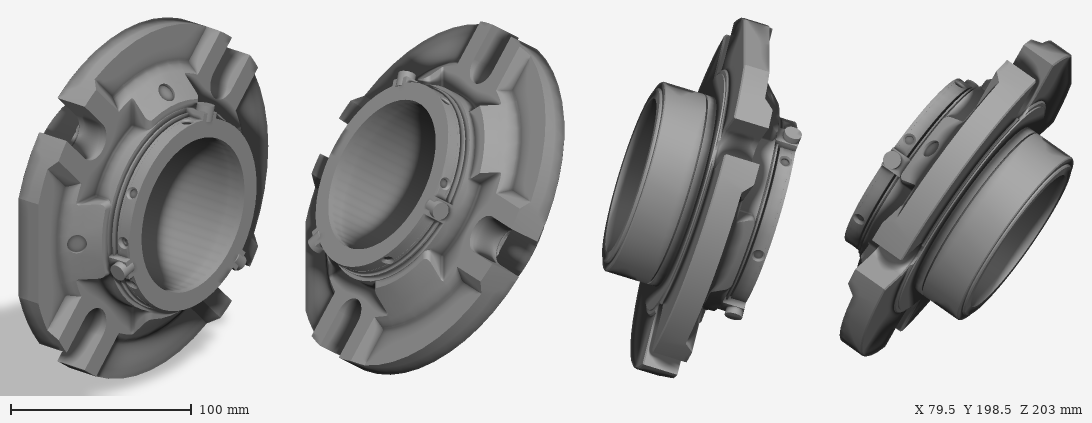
import cadquery as cq
import math


bore_dia = 88.9
sleeve_dia = 92.1
nose_dia = 101.5
nose_chamfer = 0.8
barrel_dia = 109.5
barrel_chamfer = 0.6
barrel_start = 1.6
groove_dia = 106.5
groove_start = 25.5
groove_width = 1.0
pilot_dia = 136.5
pilot_start = 31.5
lip_dia = 142.5
lip_start = 32.3
lip_chamfer = 0.8

flange_dia = 203.0
flange_start = 33.5
flange_back = 48.3
flange_chamfer = 0.8
flat_offset = 97.0

ear_back = 53.8
ear_top_width = 45.9
ear_base_width = 57.6
slot_width = 22.0
slot_center_radius = 79.0
slot_angles = [45, 135, 225, 315]

hub_dia = 117.0
hub_back = 66.0
cone_radius_at_ear = 74.7
cone_slope = math.radians(45)
pad_back = 65.5
pad_width = 44.6
pad_corner = 3.2
pocket_fillet = 1.2
hub_root_fillet = 3.0
pocket_angles = [0, 90, 180, 270]
notch_start = 62.1

port_dia = 11.0
port_depth = 2.2
lower_port_x = 55.8
lower_port_angle = 180
upper_port_x = 59.9
upper_port_angle = 90

rear_neck_dia = 109.5
rear_neck_back = 67.4
rear_disc_dia = 112.6
rear_disc_back = 68.4
thin_disc_dia = 100.0
thin_disc_back = 69.2

collar_rim_dia = 109.8
collar_dia = 109.5
collar_start = 70.0
collar_back = 78.7
collar_rim_width = 1.8
collar_mid = (collar_start + collar_back) / 2

screw_dia = 5.0
screw_sink_dia = 7.3
screw_depth = 2.5
screw_angles = [30, 90, 150, 180, 210, 270, 330]
pin_hole_dia = 2.8
pin_hole_depth = 4.9
pin_hole_angle = 180

clip_angles = [75, 195, 315]
clip_width = 11.4
clip_start = 66.2
clip_bottom = 53.5
clip_top = 58.5
clip_head_dia = 10.0
clip_head_top = 62.3
overall_length = 79.5
clip_head_x = overall_length - clip_head_dia / 2


def disc(x_start, x_end, dia):
    """Solid cylinder on the X axis."""
    return cq.Workplane("YZ").workplane(offset=x_start).circle(dia / 2).extrude(x_end - x_start)


def turned(body, angle):
    """Copy of a body turned about the X axis."""
    return body.rotate((0, 0, 0), (1, 0, 0), angle)


def radial_cylinder(x, r_start, r_end, dia):
    """Cylinder along +Y between two radii."""
    axis = cq.Solid.makeCylinder(dia / 2, r_end - r_start, cq.Vector(x, r_start, 0), cq.Vector(0, 1, 0))
    return cq.Workplane(obj=axis)


def cone_radius(x):
    """Radius of the 45 degree hub cone."""
    return cone_radius_at_ear + ear_back - x


def make_ear():
    """Trapezoid rib running out along +Y, with room for a bolt slot."""
    ear_start = flange_start + flange_chamfer
    return (
        cq.Workplane("XZ")
        .polyline([
            (ear_start, -ear_base_width / 2),
            (flange_back, -ear_base_width / 2),
            (ear_back, -ear_top_width / 2),
            (ear_back, ear_top_width / 2),
            (flange_back, ear_base_width / 2),
            (ear_start, ear_base_width / 2),
        ])
        .close()
        .extrude(-flange_dia / 2)
    )


def make_slot(x_start, x_end):
    """Open-ended bolt slot along +Y with a round bottom."""
    plane = cq.Workplane("YZ").workplane(offset=x_start)
    bottom = plane.center(slot_center_radius, 0).circle(slot_width / 2).extrude(x_end - x_start)
    channel = (
        cq.Workplane("YZ").workplane(offset=x_start)
        .center(slot_center_radius + flange_dia / 4, 0)
        .rect(flange_dia / 2, slot_width).extrude(x_end - x_start)
    )
    return bottom.union(channel)


def make_cone():
    """Conical hub, blended into the flange by a concave arc at its root."""
    root_radius = cone_radius(flange_back)
    tangent = hub_root_fillet * math.tan(cone_slope / 2)
    arc_end_x = flange_back + tangent * math.sin(cone_slope)
    arc_center_x = flange_back + hub_root_fillet
    arc_center_radius = root_radius + tangent
    arc_mid = (
        arc_center_x - hub_root_fillet * math.cos(cone_slope / 2),
        arc_center_radius - hub_root_fillet * math.sin(cone_slope / 2),
    )
    return (
        cq.Workplane("XY")
        .moveTo(flange_start, 0)
        .lineTo(flange_start, arc_center_radius)
        .lineTo(flange_back, arc_center_radius)
        .threePointArc(arc_mid, (arc_end_x, cone_radius(arc_end_x)))
        .lineTo(pad_back, cone_radius(pad_back))
        .lineTo(pad_back, 0)
        .close()
        .revolve(360, (0, 0, 0), (1, 0, 0))
    )


def make_pocket():
    """Pocket tool between two port pads, leaving the hub drum standing."""
    size = cone_radius_at_ear
    return (
        cq.Workplane("XY")
        .box(pad_back, size, size, centered=False)
        .translate((ear_back, pad_width / 2, pad_width / 2))
        .cut(disc(0, 2 * pad_back, hub_dia))
        .edges().fillet(pocket_fillet)
    )


def make_housing():
    """Flange with slots and ears, carrying the conical hub with its port pads."""
    plate = disc(flange_start, flange_back, flange_dia)
    envelope = disc(flange_start, ear_back, flange_dia)
    for angle in slot_angles:
        plate = plate.union(turned(make_ear(), angle).intersect(envelope))
    keep = (
        cq.Workplane("XY")
        .box(flange_dia, flange_dia, flange_dia)
        .translate((0, flange_dia / 2 - flat_offset, 0))
    )
    plate = plate.union(make_cone()).intersect(keep)
    for angle in slot_angles:
        plate = plate.cut(turned(make_slot(flange_start, pad_back), angle))
    plate = plate.faces("<X").chamfer(flange_chamfer)
    lip = disc(lip_start, flange_start, lip_dia).faces("<X").chamfer(lip_chamfer)
    for angle in slot_angles:
        lip = lip.cut(turned(make_slot(lip_start, flange_start), angle))
    plate = plate.union(lip)
    for angle in pocket_angles:
        plate = plate.cut(turned(make_pocket(), angle))
    plate = plate.faces(">X").edges("|Y or |Z").fillet(pad_corner)
    drum = disc(ear_back + pocket_fillet, hub_back, hub_dia)
    notch = (
        cq.Workplane("XY")
        .box(hub_back, hub_dia, pad_width, centered=(False, False, True))
        .translate((notch_start, 0, 0))
        .cut(disc(0, 2 * hub_back, hub_dia))
    )
    return plate.union(drum).cut(notch)


def make_port(x):
    """Port tool square to the cone on the +Y side."""
    inset = port_depth * math.sin(cone_slope)
    start = cq.Vector(x - inset, cone_radius(x) - inset, 0)
    return cq.Workplane(obj=cq.Solid.makeCylinder(port_dia / 2, 2 * port_depth, start, cq.Vector(1, 1, 0)))


def make_sleeve():
    """Front barrel, pilot and the stack of discs behind the hub."""
    sleeve = disc(0, collar_back, sleeve_dia)
    sleeve = sleeve.union(disc(0, barrel_start, nose_dia).faces("<X").chamfer(nose_chamfer))
    barrel = disc(barrel_start, pilot_start, barrel_dia).faces("<X").chamfer(barrel_chamfer)
    groove = disc(groove_start, groove_start + groove_width, barrel_dia).cut(
        disc(groove_start, groove_start + groove_width, groove_dia)
    )
    pilot = disc(pilot_start, flange_start, pilot_dia)
    sleeve = sleeve.union(barrel.cut(groove)).union(pilot)
    sleeve = sleeve.union(disc(hub_back, rear_neck_back, rear_neck_dia))
    sleeve = sleeve.union(disc(rear_neck_back, rear_disc_back, rear_disc_dia))
    return sleeve.union(disc(rear_disc_back, thin_disc_back, thin_disc_dia))


def make_screw_hole():
    """Countersunk blind hole tool on the +Y side of the collar."""
    outer = collar_rim_dia / 2
    sink_bottom = collar_dia / 2 - (screw_sink_dia - screw_dia) / 2
    return (
        cq.Workplane("XY")
        .polyline([
            (collar_mid, outer),
            (collar_mid + screw_sink_dia / 2, outer),
            (collar_mid + screw_sink_dia / 2, collar_dia / 2),
            (collar_mid + screw_dia / 2, sink_bottom),
            (collar_mid + screw_dia / 2, outer - screw_depth),
            (collar_mid, outer - screw_depth),
        ])
        .close()
        .revolve(360, (collar_mid, 0, 0), (collar_mid, 1, 0))
    )


def make_collar():
    """Drive collar with a slightly raised rim along both edges."""
    collar = disc(collar_start, collar_back, collar_dia)
    collar = collar.union(disc(collar_start, collar_start + collar_rim_width, collar_rim_dia))
    collar = collar.union(disc(collar_back - collar_rim_width, collar_back, collar_rim_dia))
    for angle in screw_angles:
        collar = collar.cut(turned(make_screw_hole(), angle))
    radius = collar_dia / 2
    pin_hole = radial_cylinder(collar_mid, radius - pin_hole_depth, radius, pin_hole_dia)
    return collar.cut(turned(pin_hole, pin_hole_angle))


def make_clip():
    """Setting clip on the +Y side: a flat plate with a round screw head."""
    plate = (
        cq.Workplane("XY")
        .box(collar_back - clip_start, clip_top - clip_bottom, clip_width, centered=(False, False, True))
        .translate((clip_start, clip_bottom, 0))
    )
    return plate.union(radial_cylinder(clip_head_x, clip_bottom, clip_head_top, clip_head_dia))


result = make_sleeve().union(make_housing()).union(make_collar())
for angle in clip_angles:
    result = result.union(turned(make_clip(), angle))
result = result.cut(turned(make_port(lower_port_x), lower_port_angle))
result = result.cut(turned(make_port(upper_port_x), upper_port_angle))
result = result.cut(disc(0, collar_back, bore_dia))